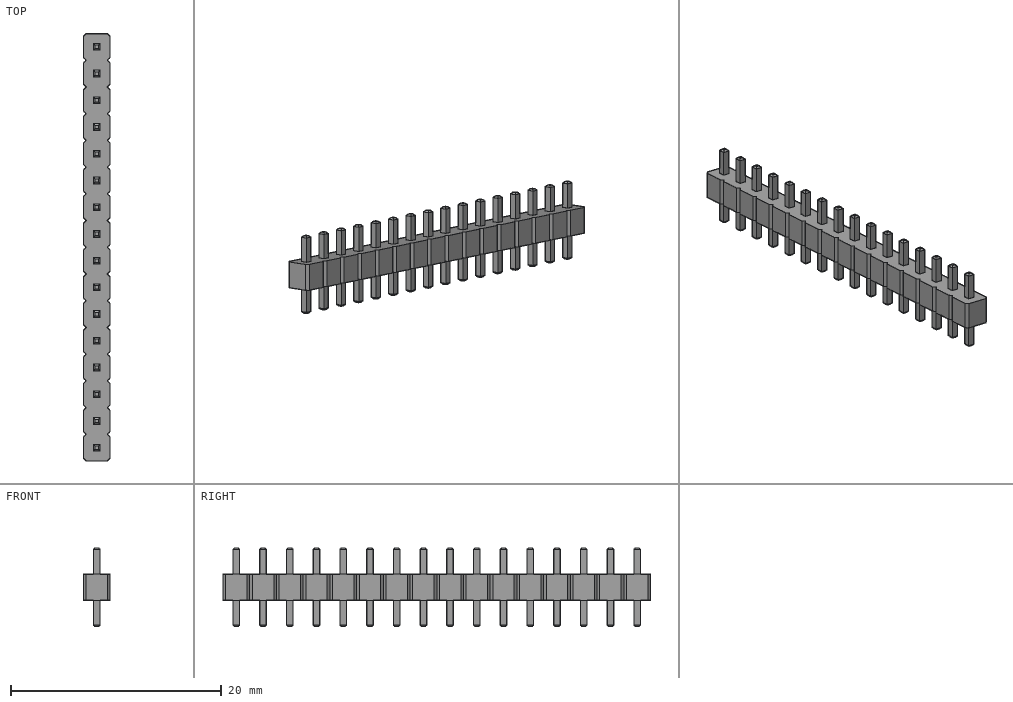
import cadquery as cq

pin_count = 16
pitch = 2.54

body_width = pitch
body_height = 2.5
body_chamfer = pitch / 10

pin_width = 0.64
pin_length = 7.5
tip_chamfer = pin_width / 4

first_pin_y = -(pin_count - 1) * pitch / 2
pin_positions = [(0, first_pin_y + i * pitch) for i in range(pin_count)]


def body_outline():
    """Closed XY outline of the body, with a V notch between neighbouring cells."""
    half_width = body_width / 2
    half_pitch = pitch / 2
    inner_x = half_width - body_chamfer
    half_flat = half_pitch - body_chamfer
    right_side = []
    for _, y in pin_positions:
        right_side += [
            (inner_x, y - half_pitch),
            (half_width, y - half_flat),
            (half_width, y + half_flat),
        ]
    right_side.append((inner_x, pin_positions[-1][1] + half_pitch))
    left_side = [(-x, y) for x, y in reversed(right_side)]
    return right_side + left_side


def make_body():
    """Notched strip, centred on Z = 0."""
    return (
        cq.Workplane("XY")
        .workplane(offset=-body_height / 2)
        .polyline(body_outline())
        .close()
        .extrude(body_height)
    )


def make_pin():
    """One square pin with all edges of both end faces chamfered."""
    pin = cq.Workplane("XY").box(pin_width, pin_width, pin_length)
    return pin.faces("<Z or >Z").chamfer(tip_chamfer)


result = make_body()
for x, y in pin_positions:
    result = result.union(make_pin().translate((x, y, 0)))